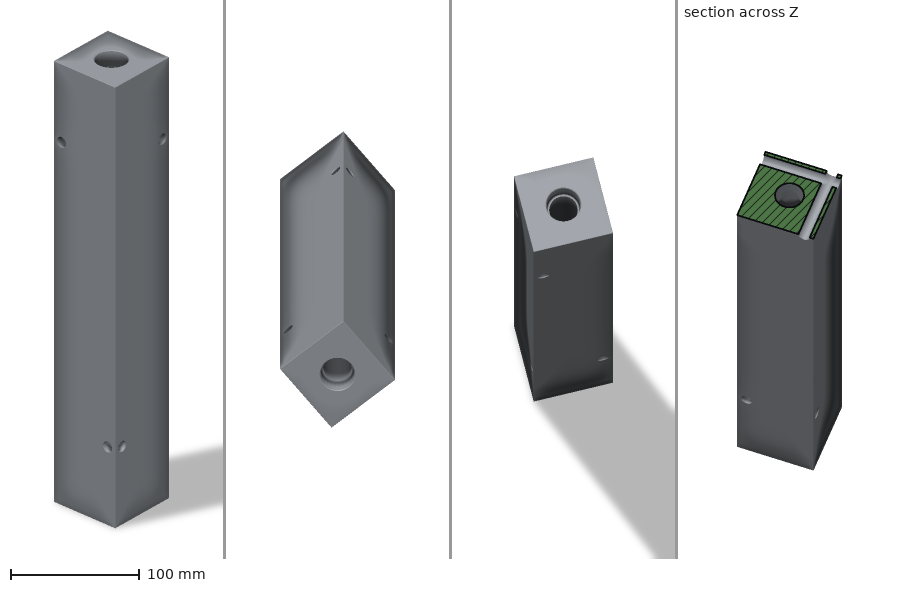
import cadquery as cq

side = 63.5
length = 393.7

edge_break = 0.254

bore_diameter = 22.2
rim_diameter = 27.9
mouth_diameter = 26.67
floor_diameter = 25.8
socket_depth = 14.0
rim_chamfer = (rim_diameter - mouth_diameter) / 2

cross_hole_diameter = 9.0
cross_hole_edge_distance = 7.94
cross_hole_end_distance = 69.85

edge_offset = side / 2 - cross_hole_edge_distance
upper_height = length - cross_hole_end_distance
lower_height = cross_hole_end_distance


def make_bar():
    return cq.Workplane("XY").rect(side, side).extrude(length)


def make_bore():
    """Revolved cutter for the through bore with a tapered socket at each end."""
    bore_radius = bore_diameter / 2
    rim_radius = rim_diameter / 2
    mouth_radius = mouth_diameter / 2
    floor_radius = floor_diameter / 2
    half_length = length / 2
    half_profile = [
        (0, 0),
        (rim_radius, 0),
        (mouth_radius, rim_chamfer),
        (floor_radius, socket_depth),
        (bore_radius, socket_depth),
        (bore_radius, half_length),
        (0, half_length),
    ]
    half_bore = (
        cq.Workplane("XZ")
        .polyline(half_profile)
        .close()
        .revolve(360, (0, 0, 0), (0, 1, 0))
    )
    return half_bore.union(half_bore.mirror("XY", (0, 0, half_length)))


def break_edges(bar):
    """Chamfer the outer edges and hole rims of the bar."""
    outer_faces = bar.faces("<X or >X or <Y or >Y or <Z or >Z")
    return outer_faces.edges().chamfer(edge_break)


def make_cross_holes(plane, upper_offset):
    """Two through holes on diagonally opposite sides of the bar's centreline."""
    centers = [(upper_offset, upper_height), (-upper_offset, lower_height)]
    return (
        cq.Workplane(plane)
        .pushPoints(centers)
        .circle(cross_hole_diameter / 2)
        .extrude(side / 2, both=True)
    )


solid_bar = make_bar()
drilled_bar = solid_bar.cut(make_cross_holes("XZ", -edge_offset)).cut(make_cross_holes("YZ", edge_offset))
result = break_edges(drilled_bar).cut(make_bore())